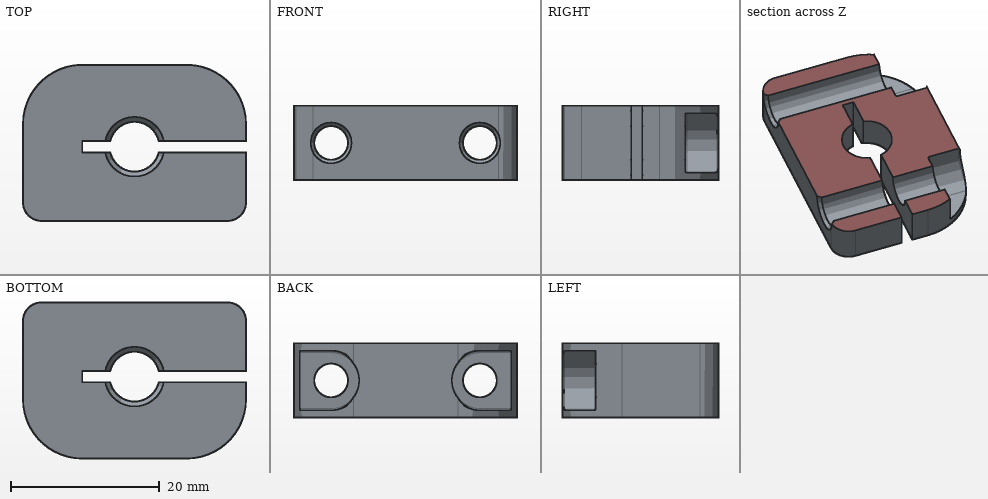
import cadquery as cq

length = 30.0
width = 21.0
height = 10.0
back_corner_radius = 8.0
front_corner_radius = 2.55

bore_x = length / 2
bore_offset = 0.5
bore_y = width / 2 - bore_offset
bore_diameter = 6.65
bore_mouth_diameter = 8.0
slot_width = 1.5
slot_start_x = 8.0

screw_inset = 5.0
screw_diameter = 4.5
screw_mouth_diameter = 5.5
pocket_width = 8.0
pocket_depth = 4.5
pocket_edge_radius = 0.25


def cylinder(diameter, depth, start, direction):
    """Round cutter from a start point along a direction."""
    return cq.Workplane(cq.Solid.makeCylinder(diameter / 2, depth, start, direction))


def countersink(mouth_diameter, hole_diameter, start, direction):
    """45 degree cone that bevels the mouth of a hole."""
    depth = (mouth_diameter - hole_diameter) / 2
    return cq.Workplane(
        cq.Solid.makeCone(mouth_diameter / 2, hole_diameter / 2, depth, start, direction)
    )


def head_pocket():
    """Screw head recess at the -X end: round on the inside, running out through the side."""
    recess = (
        cq.Workplane("XZ", origin=(screw_inset, width, height / 2))
        .moveTo(-length / 2, -pocket_width / 2)
        .lineTo(0, -pocket_width / 2)
        .threePointArc((pocket_width / 2, 0), (0, pocket_width / 2))
        .lineTo(-length / 2, pocket_width / 2)
        .close()
        .extrude(pocket_depth)
    )
    return recess.faces("<Y or >Y").edges("not <X").fillet(pocket_edge_radius)


up = cq.Vector(0, 0, 1)
down = cq.Vector(0, 0, -1)
backward = cq.Vector(0, 1, 0)

result = cq.Workplane("XY").box(length, width, height, centered=False)
result = result.edges("|Z and >Y").fillet(back_corner_radius)
result = result.edges("|Z and <Y").fillet(front_corner_radius)

bore_bottom = cq.Vector(bore_x, bore_y, 0)
bore_top = cq.Vector(bore_x, bore_y, height)
result = result.cut(cylinder(bore_diameter, height, bore_bottom, up))
result = result.cut(countersink(bore_mouth_diameter, bore_diameter, bore_top, down))
result = result.cut(countersink(bore_mouth_diameter, bore_diameter, bore_bottom, up))

slot = (
    cq.Workplane("XY")
    .box(length - slot_start_x, slot_width, height, centered=False)
    .translate((slot_start_x, bore_y - slot_width / 2, 0))
)
result = result.cut(slot)

for screw_x in (screw_inset, length - screw_inset):
    mouth = cq.Vector(screw_x, 0, height / 2)
    result = result.cut(cylinder(screw_diameter, width, mouth, backward))
    result = result.cut(countersink(screw_mouth_diameter, screw_diameter, mouth, backward))

pocket = head_pocket()
result = result.cut(pocket)
result = result.cut(pocket.mirror("YZ", (length / 2, 0, 0)))